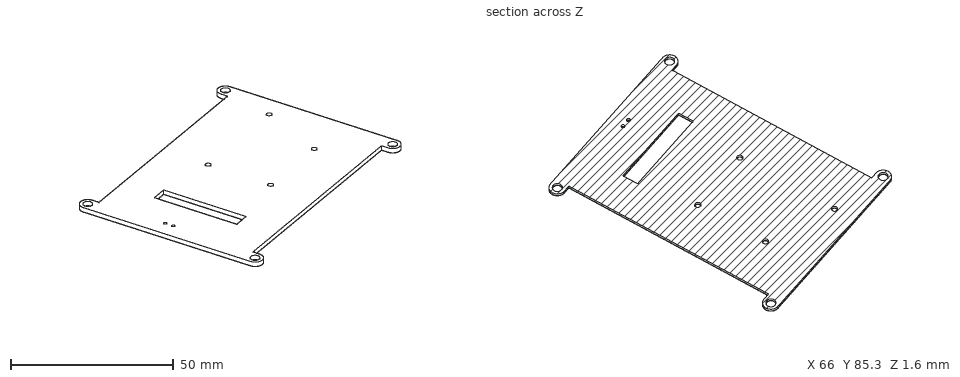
import cadquery as cq

overall_width = 66.05
overall_length = 85.3
thickness = 1.6
body_width = 56.0

ear_diameter = 5.3
ear_hole_diameter = 3.0
ear_spacing_x = overall_width - ear_diameter
ear_spacing_y = overall_length - ear_diameter

standoff_diameter = 1.8
standoff_x = 11.35
standoff_low_y = -0.5
standoff_left_top_y = 35.0
standoff_right_top_y = 24.8
standoff_points = [
    (-standoff_x, standoff_low_y),
    (standoff_x, standoff_low_y),
    (-standoff_x, standoff_left_top_y),
    (standoff_x, standoff_right_top_y),
]

window_width = 29.95
window_height = 5.4
window_y = -23.3

lead_diameter = 1.0
lead_spacing = 3.0
lead_center_x = -2.6
lead_y = -37.2


def make_plate():
    """Rectangular body with a round-ended bar across each end forming the ears."""
    body = cq.Workplane("XY").rect(body_width, overall_length).extrude(thickness)
    end_bars = (
        cq.Workplane("XY")
        .rarray(0.85, ear_spacing_y, 1, 2)
        .slot2D(overall_width, ear_diameter)
        .extrude(thickness)
    )
    return body.union(end_bars)


def through_holes(points, diameter):
    """Cylinders through the plate thickness, ready to be cut away."""
    return cq.Workplane("XY").pushPoints(points).circle(diameter / 2).extrude(thickness)


ear_points = [
    (side * ear_spacing_x / 2, end * ear_spacing_y / 2)
    for side in (-1, 1)
    for end in (-1, 1)
]
lead_points = [(lead_center_x + side * lead_spacing / 2, lead_y) for side in (-1, 1)]
window = (
    cq.Workplane("XY")
    .center(0, window_y)
    .rect(window_width, window_height)
    .extrude(thickness)
)

result = (
    make_plate()
    .cut(through_holes(ear_points, ear_hole_diameter))
    .cut(through_holes(standoff_points, standoff_diameter))
    .cut(through_holes(lead_points, lead_diameter))
    .cut(window)
)